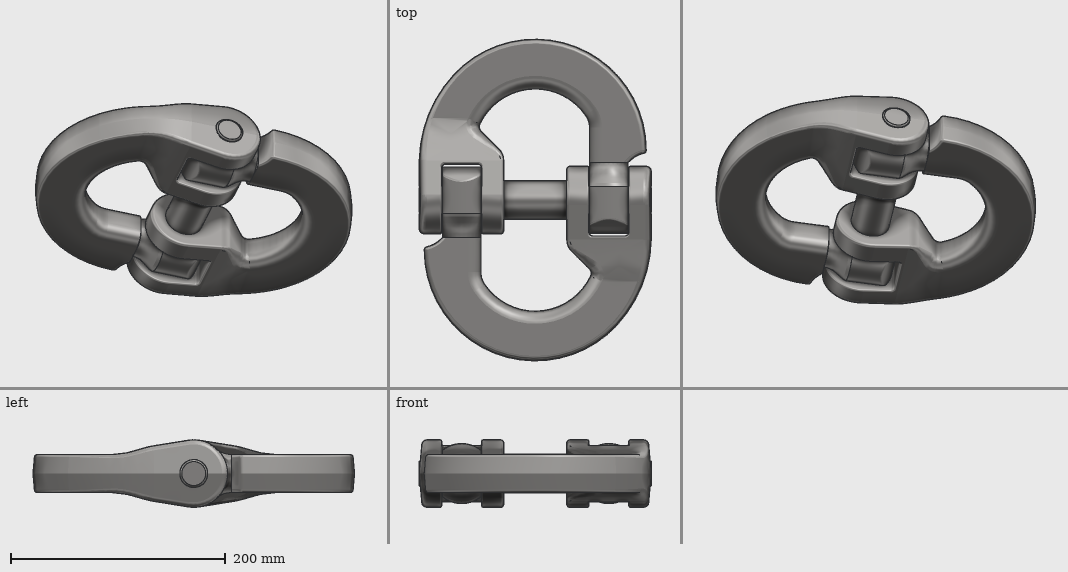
import cadquery as cq
import math

half_width = 108.05
half_length = 149.77
fork_radius = 31.5
draft_angle = 5.0
reach = 60.0

arch_radius = 103.4
arch_center_y = half_length - arch_radius
shoulder_angle = math.radians(47)
opening_radius = 57.0
arch_half_thickness = 17.8
arch_outer_fillet = 3.0
arch_inner_fillet = 12.0
fork_inner_fillet = 3.0
fork_outer_fillet = 5.0

fork_inner_x = 29.3
fork_root_y = 36.8
fork_root_half_thickness = 26.0
swell_end_y = 76.0
slot_width = 37.0
slot_end_y = 33.3
slot_corner_radius = 3.5
slot_rim_fillet = 1.8
flank_top_radius = 6.0
flank_bottom_radius = 15.0
neck_flank_y = fork_root_y + flank_bottom_radius * math.tan(math.radians(22.5))

tongue_x = 68.5
tongue_width = 36.0
barrel_radius = 28.0
barrel_end_y = 12.6
neck_start_y = 15.6
neck_step = 1.5
tip_y = -31.0
tip_radius = 36.0
tip_fillet = 2.5
arm_corner_radius = 20.0
arm_end_y = 35.0
arm_outer_corner_y = 44.0
shoulder_dip_width = 4.5
shoulder_dip_rise = 4.0
arm_corner_fillet = 3.0

pin_diameter = 26.0
tongue_hole_diameter = 26.5
pin_chamfer = 1.85
shaft_diameter = 36.0


def make_envelope():
    """Drafted outer oval that bounds a link half above Z = 0."""
    blend = (
        -arch_radius * math.sin(shoulder_angle),
        arch_center_y + arch_radius * math.cos(shoulder_angle),
    )
    outline = (
        cq.Workplane("XY")
        .moveTo(-half_width, -reach)
        .lineTo(arch_radius, -reach)
        .lineTo(arch_radius, arch_center_y)
        .tangentArcPoint(blend, relative=False)
        .tangentArcPoint((-half_width, fork_root_y), relative=False)
        .close()
    )
    return outline.extrude(fork_radius + 1, taper=draft_angle)


def make_thickness_limit():
    """Solid above Z = 0 for the thin arch, the swelling to the fork and the round fork end."""
    slab_length = half_length + reach
    slab = cq.Workplane("XY").box(2 * reach, slab_length, arch_half_thickness, centered=False)

    root_angle = math.atan2(fork_root_half_thickness, fork_root_y)
    root_distance = math.hypot(fork_root_y, fork_root_half_thickness)
    tangent_angle = root_angle + math.acos(fork_radius / root_distance)
    tangent_y = fork_radius * math.cos(tangent_angle)
    tangent_z = fork_radius * math.sin(tangent_angle)
    flank_y = fork_root_y - tangent_y
    flank_z = tangent_z - fork_root_half_thickness
    fork_side = (
        cq.Workplane("YZ")
        .moveTo(slab_length, 0)
        .lineTo(slab_length, arch_half_thickness)
        .lineTo(swell_end_y, arch_half_thickness)
        .spline(
            [(fork_root_y, fork_root_half_thickness)],
            tangents=[(-1, 0), (-flank_y, flank_z)],
            includeCurrent=True,
        )
        .lineTo(tangent_y, tangent_z)
        .threePointArc(
            (-fork_radius * math.sqrt(0.5), fork_radius * math.sqrt(0.5)),
            (-fork_radius, 0),
        )
        .close()
        .extrude(-2 * reach)
    )
    return slab.union(fork_side)


def make_opening():
    """Cutter for the space inside the arch, between fork and tongue."""
    tongue_inner_x = tongue_x - tongue_width / 2
    flank_sum = neck_flank_y - fork_inner_x
    rise = flank_sum - arch_center_y
    flank_x = (rise - math.sqrt(2 * opening_radius**2 - rise**2)) / 2
    arm_y = arch_center_y + math.sqrt(opening_radius**2 - tongue_inner_x**2)
    opening = (
        cq.Workplane("XY")
        .moveTo(-fork_inner_x, -reach)
        .lineTo(-fork_inner_x, neck_flank_y)
        .lineTo(flank_x, flank_sum - flank_x)
        .threePointArc((0, arch_center_y + opening_radius), (tongue_inner_x, arm_y))
        .lineTo(tongue_inner_x, -reach)
        .close()
        .extrude(reach, both=True)
    )
    corners = (
        (-fork_inner_x, neck_flank_y, flank_bottom_radius),
        (flank_x, flank_sum - flank_x, flank_top_radius),
        (tongue_inner_x, arm_y, arm_corner_radius),
    )
    for x, y, radius in corners:
        corner = cq.selectors.BoxSelector((x - 1, y - 1, -2 * reach), (x + 1, y + 1, 2 * reach))
        opening = opening.edges("|Z").edges(corner).fillet(radius)
    return opening


def make_arm_end_cutter():
    """Cutter for the hollow shoulder where the arch gives way to the tongue."""
    neck_x = tongue_x + tongue_width / 2
    return (
        cq.Workplane("XY")
        .moveTo(0, -reach)
        .lineTo(0, arm_end_y)
        .lineTo(neck_x, arm_end_y)
        .threePointArc(
            (neck_x + shoulder_dip_width, arm_end_y + shoulder_dip_rise),
            (arch_radius, arm_outer_corner_y),
        )
        .lineTo(arch_radius + reach, arm_outer_corner_y)
        .lineTo(arch_radius + reach, -reach)
        .close()
        .extrude(reach, both=True)
    )


def nearest_edge(body, point):
    """Edge of the body that passes closest to a point."""
    target = cq.Vertex.makeVertex(*point)
    return min(body.edges().vals(), key=lambda edge: edge.distance(target))


def make_tongue():
    """Upper half of the round barrel and flared neck, flattened to fit the slot, with a round tip."""
    tongue = (
        cq.Workplane("XY")
        .moveTo(0, tip_y - 1)
        .lineTo(barrel_radius, tip_y - 1)
        .lineTo(barrel_radius, barrel_end_y)
        .lineTo(barrel_radius - neck_step, neck_start_y)
        .spline([(arch_half_thickness, arm_end_y)], tangents=[(-0.7, 1), (0, 1)], includeCurrent=True)
        .lineTo(0, arm_end_y)
        .close()
        .revolve(360, (0, 0, 0), (0, 1, 0))
    )
    flat_sides = cq.Workplane("XY").box(tongue_width, 4 * reach, reach, centered=(True, True, False))
    tip_center_y = tip_y + tip_radius
    round_tip = (
        cq.Workplane("YZ").center(tip_center_y, 0).circle(tip_radius).extrude(reach, both=True)
        .union(cq.Workplane("XY").box(2 * reach, reach, 2 * reach).translate((0, tip_center_y + reach / 2, 0)))
    )
    tongue = tongue.intersect(flat_sides).intersect(round_tip)
    tip_edge = nearest_edge(tongue, (0, tip_y / 2, barrel_radius))
    tongue = tongue.newObject([tip_edge]).fillet(tip_fillet)
    return tongue.translate((tongue_x, 0, 0))


def round_contour(body, arch_point, arch_fillet, fork_fillet):
    """Round the edge loop through a point on the arch, changing radius from arch to fork."""
    shapes = cq.occ_impl.shapes
    builder = shapes.BRepFilletAPI_MakeFillet(body.val().wrapped)
    builder.Add(arch_fillet, nearest_edge(body, arch_point).wrapped)
    for vertex in body.vertices().vals():
        on_contour = builder.Abscissa(1, vertex.wrapped) >= 0
        if on_contour and vertex.Y <= fork_root_y + 0.1 and vertex.X < 0:
            builder.SetRadius(fork_fillet, 1, vertex.wrapped)
    return cq.Workplane(shapes.Shape.cast(builder.Shape()))


def make_slot():
    """Cutter for the slot that takes the tongue of the other half."""
    slot_length = slot_end_y + reach
    slot = cq.Workplane("XY").box(slot_width, slot_length, 2 * reach)
    slot = slot.edges("|Z and >Y").fillet(slot_corner_radius)
    return slot.translate((-tongue_x, slot_end_y - slot_length / 2, 0))


def bore(diameter, length, start_x):
    """Cylinder along X on the pin axis."""
    return cq.Workplane("YZ", origin=(start_x, 0, 0)).circle(diameter / 2).extrude(length)


def join_mirror_image(upper):
    """Solid sewn from the skin of a body above Z = 0 and the skin of its mirror image."""
    on_mid_plane = cq.selectors.BoxSelector((-1e3, -1e3, -1e-3), (1e3, 1e3, 1e-3), boundingbox=True)
    skin = []
    for side in (upper, upper.mirror("XY")):
        mid_faces = side.faces(on_mid_plane).vals()
        skin += [face for face in side.faces().vals() if face not in mid_faces]
    return cq.Workplane(cq.Solid.makeSolid(cq.Shell.makeShell(skin)))


def make_link_half():
    """Arch with a slotted fork on its -X leg and a tongue on its +X leg."""
    upper = make_envelope().intersect(make_thickness_limit())
    upper = upper.cut(make_opening()).cut(make_arm_end_cutter())
    upper = upper.newObject([nearest_edge(upper, (arch_radius - 0.5, arm_outer_corner_y, 5))])
    upper = upper.fillet(arm_corner_fillet)

    outer_draft = arch_half_thickness * math.tan(math.radians(draft_angle))
    outer_crown = (0, half_length - outer_draft, arch_half_thickness)
    inner_crown = (0, arch_center_y + opening_radius, arch_half_thickness)
    upper = round_contour(upper, outer_crown, arch_outer_fillet, fork_outer_fillet)
    upper = round_contour(upper, inner_crown, arch_inner_fillet, fork_inner_fillet)

    upper = upper.cut(make_slot())
    slot_rim = (slot_width / 2 - tongue_x, 0, fork_radius)
    upper = upper.newObject([nearest_edge(upper, slot_rim)]).fillet(slot_rim_fillet)

    upper = upper.union(make_tongue())
    upper = upper.cut(bore(pin_diameter, half_width, -half_width))
    upper = upper.cut(bore(tongue_hole_diameter, half_width, 0))
    return join_mirror_image(upper)


def make_pin():
    """Short pin through fork and tongue, chamfered at its outer end."""
    pin = bore(pin_diameter, half_width - fork_inner_x, -half_width)
    return pin.faces("<X").chamfer(pin_chamfer)


def make_shaft():
    """Plain shaft between the two forks."""
    return bore(shaft_diameter, 2 * fork_inner_x, -fork_inner_x)


link_halves = []
pins = []
for angle in (0, 180):
    link_halves.append(make_link_half().rotate((0, 0, 0), (0, 0, 1), angle))
    pins.append(make_pin().rotate((0, 0, 0), (0, 0, 1), angle))
shaft = make_shaft()

result = cq.Compound.makeCompound(
    [body.solids().val() for body in (*link_halves, *pins, shaft)]
)